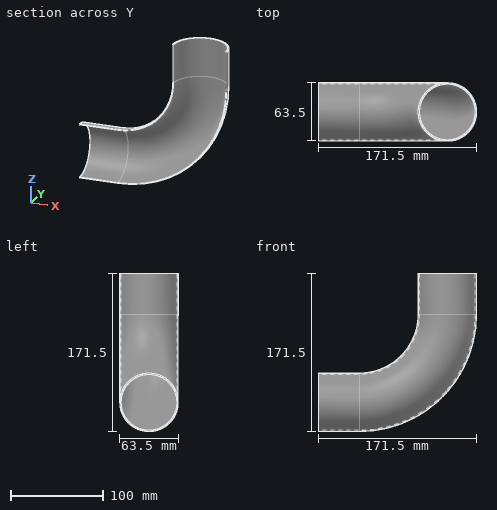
import cadquery as cq

overall = 171.5
outer_diameter = 63.5
wall = 1.5
bend_radius = 1.5 * outer_diameter

outer_radius = outer_diameter / 2
inner_radius = outer_radius - wall
straight_length = overall - outer_radius - bend_radius


def pipe_solid(radius):
    """Solid round bar: along +X, through a 90 degree bend, then up along +Z."""
    inlet = cq.Workplane("YZ").circle(radius).extrude(straight_length)
    bend = (
        cq.Workplane("YZ", origin=(straight_length, 0, 0))
        .circle(radius)
        .revolve(90, (0, bend_radius, 0), (-1, bend_radius, 0))
    )
    outlet = (
        cq.Workplane("XY", origin=(straight_length + bend_radius, 0, bend_radius))
        .circle(radius)
        .extrude(straight_length)
    )
    return inlet.union(bend).union(outlet)


result = pipe_solid(outer_radius).cut(pipe_solid(inner_radius))